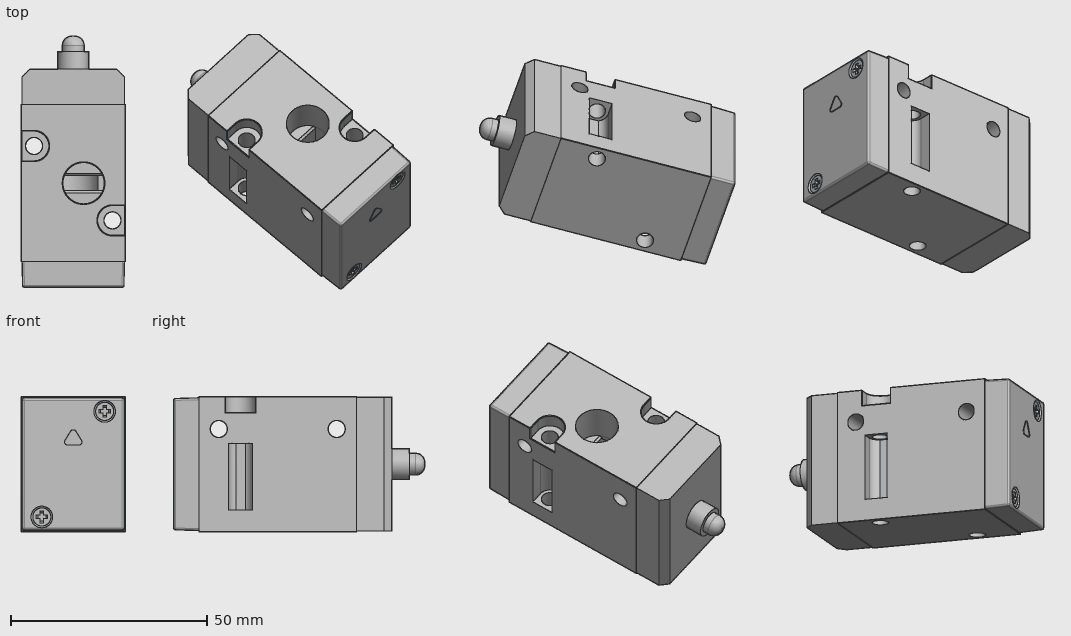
import cadquery as cq

TOTAL_LENGTH = 64.0

HOUSING_WIDTH = 26.5
HOUSING_LENGTH = 40.0
HOUSING_HEIGHT = 34.5
HOUSING_EDGE_CHAMFER = 0.1
TOP = HOUSING_HEIGHT / 2
SIDE = HOUSING_WIDTH / 2
MID_Y = HOUSING_LENGTH / 2

MOUNT_HOLE_DIAMETER = 4.3
MOUNT_X = 10.0
MOUNT_Y_OFFSET = 9.5
POCKET_RADIUS = 3.8
POCKET_DEPTH = 4.0
POCKET_RIM_CHAMFER = 0.2
NUT_SLOT_RADIUS = 3.0
NUT_SLOT_DEPTH = 6.0
NUT_SLOT_TOP = 5.3
NUT_SLOT_BOTTOM = -11.65

CROSS_HOLE_DIAMETER = 4.3
CROSS_HOLE_SPACING = 30.0
CROSS_HOLE_Z = 8.95

PORT_X = 2.6
PORT_TOP_RADIUS = 5.45
PORT_FLOOR_RADIUS = 5.25
PORT_DEPTH = 10.25
CHAMBER_RADIUS = 6.3
CHAMBER_WIDTH = 3.85
SLOT_CHAMFER = 0.6

REAR_CAP_LENGTH = 9.0
REAR_CAP_INSET = 0.2
REAR_CAP_CHAMFER = 2.0

FRONT_CAP_LENGTH = 6.5
FRONT_CAP_BASE_INSET_X = 0.2
FRONT_CAP_BASE_INSET_Z = 0.3
FRONT_CAP_DRAFT_X = 0.1
FRONT_CAP_DRAFT_Z = 0.2
FRONT_CAP_FILLET = 0.5

SCREW_X = 8.0
SCREW_Z = 13.45
SCREW_RADIUS = 2.3
SCREW_HEAD_HEIGHT = 1.9
SCREW_HEAD_SINK = 0.3
SCREW_RIM_WIDTH = 0.45
CROSS_SPAN = 2.95
CROSS_FLOOR_SPAN = 2.05
CROSS_ARM_WIDTH = 0.9
CROSS_DEPTH = 0.95

MARKER_HALF_BASE = 2.8
MARKER_HEIGHT = 4.6
MARKER_BASE_Z = 4.85
MARKER_CORNER = 0.8
MARKER_DEPTH = 0.2

GUIDE_RADIUS = 4.0
GUIDE_LENGTH = 4.5
PLUNGER_RADIUS = 2.8
PLUNGER_LENGTH = TOTAL_LENGTH - (FRONT_CAP_LENGTH + HOUSING_LENGTH + REAR_CAP_LENGTH + GUIDE_LENGTH)
PLUNGER_NOSE_RADIUS = 2.4

FRONT_FACE_Y = -FRONT_CAP_LENGTH
REAR_FACE_Y = HOUSING_LENGTH + REAR_CAP_LENGTH
GUIDE_END_Y = REAR_FACE_Y + GUIDE_LENGTH
SCREW_POSITIONS = [(SCREW_X, SCREW_Z), (-SCREW_X, -SCREW_Z)]


def block(x_range, y_range, z_range):
    """Box between the given limits along each axis."""
    (x0, x1), (y0, y1), (z0, z1) = x_range, y_range, z_range
    return cq.Workplane("XY").box(x1 - x0, y1 - y0, z1 - z0, centered=False).translate((x0, y0, z0))


def cylinder_along_y(radius, y_start, length, x=0, z=0):
    """Round bar that starts at y_start and runs toward +Y."""
    return cq.Workplane(cq.Solid.makeCylinder(radius, length, cq.Vector(x, y_start, z), cq.Vector(0, 1, 0)))


def side_opening_outline(radius, z):
    """Outline at height z that is round about the mounting hole and runs out through the -X side."""
    y = MID_Y + MOUNT_Y_OFFSET
    return (
        cq.Workplane("XY", origin=(0, 0, z))
        .moveTo(-HOUSING_WIDTH, y - radius)
        .lineTo(-MOUNT_X, y - radius)
        .threePointArc((-MOUNT_X + radius, y), (-MOUNT_X, y + radius))
        .lineTo(-HOUSING_WIDTH, y + radius)
        .close()
    )


def pocket_cutter():
    """Top pocket with its rim broken on the top face and on the side face."""
    pocket = side_opening_outline(POCKET_RADIUS, TOP).extrude(-POCKET_DEPTH)
    rim_radius = POCKET_RADIUS + POCKET_RIM_CHAMFER
    rim_depth = POCKET_DEPTH + POCKET_RIM_CHAMFER
    top_rim = side_opening_outline(rim_radius, TOP).extrude(-POCKET_RIM_CHAMFER, taper=45)
    side_rim = (
        cq.Workplane("YZ", origin=(-SIDE, MID_Y + MOUNT_Y_OFFSET, TOP))
        .rect(2 * rim_radius, 2 * rim_depth)
        .extrude(POCKET_RIM_CHAMFER, taper=45)
    )
    return pocket.union(top_rim).union(side_rim)


def mount_cutter():
    """Mounting hole, top pocket, and flat-ended nut slot on the -X side."""
    hole = (
        cq.Workplane("XY", origin=(-MOUNT_X, MID_Y + MOUNT_Y_OFFSET, -TOP))
        .circle(MOUNT_HOLE_DIAMETER / 2)
        .extrude(HOUSING_HEIGHT)
    )
    nut_slot = side_opening_outline(NUT_SLOT_RADIUS, NUT_SLOT_BOTTOM).extrude(NUT_SLOT_TOP - NUT_SLOT_BOTTOM)
    slot_reach = block((-HOUSING_WIDTH, -SIDE + NUT_SLOT_DEPTH), (0, HOUSING_LENGTH), (-TOP, TOP))
    return hole.union(pocket_cutter()).union(nut_slot.intersect(slot_reach))


def port_cutter():
    """Tapered port, chamfered slot in its floor, and the round chamber below."""
    floor_z = TOP - PORT_DEPTH
    port = (
        cq.Workplane("XY", origin=(PORT_X, MID_Y, floor_z))
        .circle(PORT_FLOOR_RADIUS)
        .workplane(offset=PORT_DEPTH)
        .circle(PORT_TOP_RADIUS)
        .loft()
    )
    half_width = CHAMBER_WIDTH / 2
    slot_bar = (
        cq.Workplane("YZ", origin=(PORT_X - PORT_FLOOR_RADIUS, MID_Y, 0))
        .moveTo(-half_width, 0)
        .lineTo(half_width, 0)
        .lineTo(half_width, floor_z - SLOT_CHAMFER)
        .lineTo(half_width + SLOT_CHAMFER, floor_z)
        .lineTo(-half_width - SLOT_CHAMFER, floor_z)
        .lineTo(-half_width, floor_z - SLOT_CHAMFER)
        .close()
        .extrude(2 * PORT_FLOOR_RADIUS)
    )
    port_core = cq.Workplane("XY", origin=(PORT_X, MID_Y, 0)).circle(PORT_FLOOR_RADIUS).extrude(floor_z)
    chamber = cylinder_along_y(CHAMBER_RADIUS, MID_Y - half_width, CHAMBER_WIDTH)
    return port.union(slot_bar.intersect(port_core)).union(chamber)


def make_housing():
    body = block((-SIDE, SIDE), (0, HOUSING_LENGTH), (-TOP, TOP)).edges("|Y").chamfer(HOUSING_EDGE_CHAMFER)
    mount = mount_cutter()
    opposite_mount = mount.rotate((0, MID_Y, 0), (0, MID_Y, 1), 180)
    body = body.cut(mount).cut(opposite_mount).cut(port_cutter())
    for y in (MID_Y - CROSS_HOLE_SPACING / 2, MID_Y + CROSS_HOLE_SPACING / 2):
        cross_hole = (
            cq.Workplane("YZ", origin=(-SIDE, y, CROSS_HOLE_Z))
            .circle(CROSS_HOLE_DIAMETER / 2)
            .extrude(HOUSING_WIDTH)
        )
        body = body.cut(cross_hole)
    return body


def make_rear_cap():
    half_width = SIDE - REAR_CAP_INSET
    half_height = TOP - REAR_CAP_INSET
    cap = block((-half_width, half_width), (HOUSING_LENGTH, REAR_FACE_Y), (-half_height, half_height))
    return cap.edges("|Z and >Y").chamfer(REAR_CAP_CHAMFER)


def marker_cutter():
    """Shallow triangle with rounded corners, pointing up."""
    outline = (
        cq.Workplane("XZ", origin=(0, FRONT_FACE_Y, MARKER_BASE_Z))
        .polyline([(-MARKER_HALF_BASE, 0), (MARKER_HALF_BASE, 0), (0, MARKER_HEIGHT)])
        .close()
    )
    return outline.extrude(-MARKER_DEPTH).edges("|Y").fillet(MARKER_CORNER)


def make_front_cap():
    base_width = HOUSING_WIDTH - 2 * FRONT_CAP_BASE_INSET_X
    base_height = HOUSING_HEIGHT - 2 * FRONT_CAP_BASE_INSET_Z
    cap = (
        cq.Workplane("XZ")
        .rect(base_width, base_height)
        .workplane(offset=FRONT_CAP_LENGTH)
        .rect(base_width - 2 * FRONT_CAP_DRAFT_X, base_height - 2 * FRONT_CAP_DRAFT_Z)
        .loft()
    )
    cap = cap.edges("not >Y").fillet(FRONT_CAP_FILLET)
    for x, z in SCREW_POSITIONS:
        recess_depth = SCREW_HEAD_SINK + SCREW_HEAD_HEIGHT
        recess = cylinder_along_y(SCREW_RADIUS, FRONT_FACE_Y, recess_depth, x, z)
        rim = cq.Solid.makeCone(
            SCREW_RADIUS + SCREW_RIM_WIDTH,
            SCREW_RADIUS,
            SCREW_HEAD_SINK,
            cq.Vector(x, FRONT_FACE_Y, z),
            cq.Vector(0, 1, 0),
        )
        cap = cap.cut(recess).cut(cq.Workplane(rim))
    return cap.cut(marker_cutter())


def make_screw(x, z):
    """Screw head, sunk below the cap face, with a cross recess whose arm ends slope inward."""
    head_y = FRONT_FACE_Y + SCREW_HEAD_SINK
    head = cylinder_along_y(SCREW_RADIUS, head_y, SCREW_HEAD_HEIGHT, x, z)
    arm = (
        cq.Workplane("XY", origin=(x, head_y, z - CROSS_ARM_WIDTH / 2))
        .polyline([
            (-CROSS_SPAN / 2, 0),
            (CROSS_SPAN / 2, 0),
            (CROSS_FLOOR_SPAN / 2, CROSS_DEPTH),
            (-CROSS_FLOOR_SPAN / 2, CROSS_DEPTH),
        ])
        .close()
        .extrude(CROSS_ARM_WIDTH)
    )
    crossing_arm = arm.rotate((x, 0, z), (x, 1, z), 90)
    return head.cut(arm).cut(crossing_arm)


def make_guide():
    return cylinder_along_y(GUIDE_RADIUS, REAR_FACE_Y, GUIDE_LENGTH)


def make_plunger():
    bar = cylinder_along_y(PLUNGER_RADIUS, GUIDE_END_Y, PLUNGER_LENGTH)
    return bar.faces(">Y").edges().fillet(PLUNGER_NOSE_RADIUS)


housing = make_housing()
rear_cap = make_rear_cap()
front_cap = make_front_cap()
screws = [make_screw(x, z) for x, z in SCREW_POSITIONS]
guide = make_guide()
plunger = make_plunger()

result = cq.Compound.makeCompound([
    housing.val(),
    rear_cap.val(),
    front_cap.val(),
    *[screw.val() for screw in screws],
    guide.val(),
    plunger.val(),
])